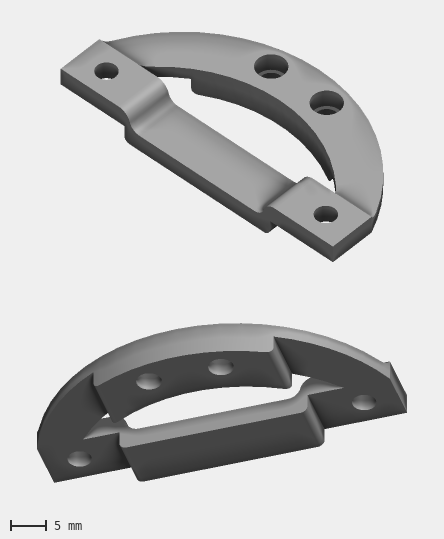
import cadquery as cq
import math

length = 51.5
width = 25.05
height = 6.0
half_length = length / 2

bar_width = 7.95
step_height = 2.95
pad_length = 27.45
pad_corner_radius = 1.05
end_hole_diameter = 3.4
end_hole_spacing = 41.5
end_hole_y = bar_width / 2

dip_top_half = 14.8
dip_joint_half = 12.65
dip_floor_half = 10.85

bow_top = 4.95
bow_inner_crown_y = 16.9
bow_inner_half_span = 19.0
bow_pad_length = 26.25
bow_blend_width = 1.85
bow_hole_diameter = 3.6
bow_hole_spacing = 10.5
bow_hole_y = 20.95
counterbore_diameter = 4.8
counterbore_depth = 3.05


def tangent_arc_radius(run, rise):
    """Radius of an arc that starts tangent to the run and ends at (run, rise)."""
    return (run**2 + rise**2) / (2 * rise)


def point_on_arc(start_x, level, radius, run, vertical):
    """Point a given run from a horizontal tangent; vertical is 1 for a valley, -1 for a crest."""
    sag = radius - math.sqrt(radius**2 - run**2)
    return (start_x + run, level + vertical * sag)


def stepped_plate(profile_depth, lower_length, top):
    """Plate with a narrower pad below it, rounded along the pad's lower edges."""
    plate = cq.Workplane("XY").box(length, profile_depth, top - step_height, centered=(True, False, False))
    plate = plate.translate((0, 0, step_height))
    pad = cq.Workplane("XY").box(lower_length, profile_depth, step_height, centered=(True, False, False))
    pad = pad.edges("|Y and <Z").fillet(pad_corner_radius)
    return plate.union(pad)


def bar_dip():
    """Cutter for the dip: a flat floor joined to the bar top by two tangent arcs on each side."""
    depth = height - step_height
    run = dip_top_half - dip_floor_half
    radius_sum = tangent_arc_radius(run, depth)
    crest_run = dip_top_half - dip_joint_half
    valley_run = dip_joint_half - dip_floor_half
    crest_radius = radius_sum * crest_run / run
    valley_radius = radius_sum * valley_run / run
    joint = point_on_arc(-dip_top_half, height, crest_radius, crest_run, -1)
    crest_mid = point_on_arc(-dip_top_half, height, crest_radius, crest_run / 2, -1)
    valley_mid = point_on_arc(-dip_floor_half, step_height, valley_radius, -valley_run / 2, 1)

    def mirrored(point):
        return (-point[0], point[1])

    return (
        cq.Workplane("XZ")
        .moveTo(-dip_top_half, height)
        .threePointArc(crest_mid, joint)
        .threePointArc(valley_mid, (-dip_floor_half, step_height))
        .lineTo(dip_floor_half, step_height)
        .threePointArc(mirrored(valley_mid), mirrored(joint))
        .threePointArc(mirrored(crest_mid), (dip_top_half, height))
        .close()
        .extrude(-bar_width)
    )


def vertical_holes(diameter, spacing, y, bottom):
    """Pair of cylinders rising from the bottom level to the top of the part."""
    centers = [(-spacing / 2, y), (spacing / 2, y)]
    return cq.Workplane("XY", origin=(0, 0, bottom)).pushPoints(centers).circle(diameter / 2).extrude(height)


def make_bar():
    bar = stepped_plate(bar_width, pad_length, height).cut(bar_dip())
    return bar.cut(vertical_holes(end_hole_diameter, end_hole_spacing, end_hole_y, 0))


def bow_segment(half_span, crown_y):
    """Circular segment standing on the back face of the bar."""
    return (
        cq.Workplane("XY")
        .moveTo(-half_span, bar_width)
        .threePointArc((0, crown_y), (half_span, bar_width))
        .close()
        .extrude(height)
    )


def bow_blend():
    """Concave rise from the bow's top face to the top edge of the bar."""
    rise = height - bow_top
    radius = tangent_arc_radius(bow_blend_width, rise)
    tangent_y = bar_width + bow_blend_width
    middle = point_on_arc(tangent_y, bow_top, radius, -bow_blend_width / 2, 1)
    return (
        cq.Workplane("YZ", origin=(-half_length, 0, 0))
        .moveTo(tangent_y, bow_top)
        .threePointArc(middle, (bar_width, height))
        .lineTo(bar_width, bow_top)
        .close()
        .extrude(length)
    )


def make_bow():
    crescent = bow_segment(half_length, width).cut(bow_segment(bow_inner_half_span, bow_inner_crown_y))
    body = stepped_plate(width, bow_pad_length, bow_top).union(bow_blend())
    bow = body.intersect(crescent)
    bow = bow.cut(vertical_holes(bow_hole_diameter, bow_hole_spacing, bow_hole_y, 0))
    counterbore_floor = bow_top - counterbore_depth
    return bow.cut(vertical_holes(counterbore_diameter, bow_hole_spacing, bow_hole_y, counterbore_floor))


result = make_bar().union(make_bow())